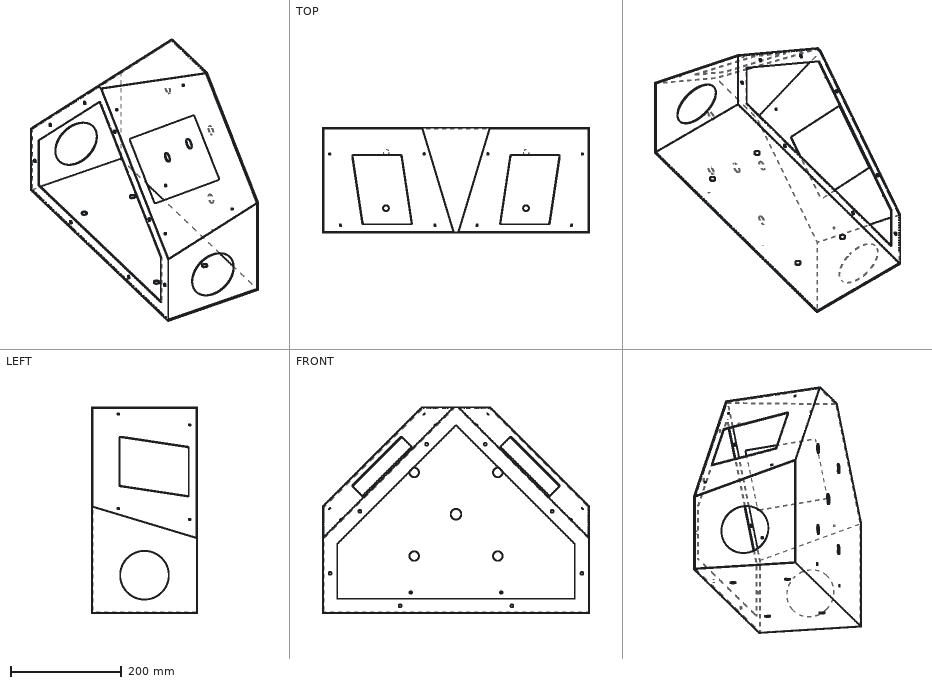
import cadquery as cq
import math

width = 482.5
depth = 190.5
height = 373.0
sheet = 2.0
front_shoulder = 136.0
back_shoulder = 193.5
flange_width = 26.0

half_width = width / 2
lean = (back_shoulder - front_shoulder) / depth
panel_normal_length = math.sqrt(2 + lean**2)

window_length = 126.5
window_width = 128.5
window_corner_radius = 2.65
window_center_x = 134.5
window_center_y = 77.5
panel_screw_spacing_along = 242.5
panel_screw_spacing_across = 132.0
panel_screw_diameter = 3.5
panel_screw_skin = 1.5

side_hole_diameter = 88.0
side_hole_z = 68.5
back_hole_diameter = 17.0
back_hole_spacing = 151.5
back_center_hole_diameter = 19.0
back_center_z = 179.0
back_screw_diameter = 4.05
back_screw_x = 82.0
back_screw_z = 37.0
floor_hole_diameter = 10.0
floor_hole_x = 127.0
floor_hole_inset = 44.5
flange_screw_diameter = 5.5
flange_screws = [(101.5, 13.0), (228.5, 72.0), (174.0, 184.5), (53.0, 306.0)]


def section(y, inset):
    """Corners of the hexagonal cross-section at depth y, with every face moved inward by inset."""
    side = half_width - inset
    top = height - inset
    roof_sum = half_width + front_shoulder + lean * y - inset * panel_normal_length
    right = [(side, inset), (side, roof_sum - side), (roof_sum - top, top)]
    left = [(-x, z) for x, z in reversed(right)]
    return [cq.Vector(x, y, z) for x, z in right + left]


def planar_face(corners):
    return cq.Face.makeFromWires(cq.Wire.makePolygon(corners, close=True))


def hexagonal_body(y_front, y_back, inset):
    """Solid between two sections, bounded by flat faces only."""
    front = section(y_front, inset)
    back = section(y_back, inset)
    faces = [planar_face(front), planar_face(back)]
    for i in range(len(front)):
        faces.append(planar_face([front[i - 1], front[i], back[i], back[i - 1]]))
    return cq.Workplane(obj=cq.Solid.makeSolid(cq.Shell.makeShell(faces)))


def flange_opening():
    """Five-sided front opening, leaving an even flange along the walls and roof."""
    side = half_width - flange_width
    apex = half_width + front_shoulder - flange_width * math.sqrt(2)
    right = [(side, flange_width), (side, apex - side)]
    left = [(-x, z) for x, z in reversed(right)]
    points = right + [(0, apex)] + left
    return cq.Workplane("XZ").polyline(points).close().extrude(-2 * sheet)


def holes_along_y(points, diameter, y_start):
    """Round cutters passing through one sheet that starts at y_start."""
    plane = cq.Workplane("XZ", origin=(0, y_start, 0))
    return plane.pushPoints(points).circle(diameter / 2).extrude(-sheet)


def panel_cutters(side):
    """Cutters for the window and four blind screw holes of one roof panel; side is -1 (left) or 1 (right)."""
    center_z = half_width + front_shoulder + lean * window_center_y - window_center_x
    plane = cq.Plane(
        origin=(side * window_center_x, window_center_y, center_z),
        xDir=(side, 0, -1),
        normal=(side, -lean, 1),
    )
    cut_depth = 2 * sheet
    window = (
        cq.Workplane(plane)
        .rect(window_length, window_width)
        .extrude(cut_depth, both=True)
        .edges(cq.selectors.ParallelDirSelector(plane.zDir))
        .fillet(window_corner_radius)
    )
    screws = (
        cq.Workplane(plane)
        .workplane(offset=-panel_screw_skin)
        .rect(panel_screw_spacing_along, panel_screw_spacing_across, forConstruction=True)
        .vertices()
        .circle(panel_screw_diameter / 2)
        .extrude(-cut_depth)
    )
    return window, screws


shell = hexagonal_body(0, depth, 0)
shell = shell.cut(hexagonal_body(sheet, depth - sheet, sheet))
shell = shell.cut(flange_opening())

for mirror in (-1, 1):
    points = [(mirror * x, z) for x, z in flange_screws]
    shell = shell.cut(holes_along_y(points, flange_screw_diameter, 0))

back_inner = depth - sheet
half_spacing = back_hole_spacing / 2
corner_holes = [(i * half_spacing, back_center_z + j * half_spacing) for i in (-1, 1) for j in (-1, 1)]
back_screws = [(-back_screw_x, back_screw_z), (back_screw_x, back_screw_z)]
shell = shell.cut(holes_along_y(corner_holes, back_hole_diameter, back_inner))
shell = shell.cut(holes_along_y([(0, back_center_z)], back_center_hole_diameter, back_inner))
shell = shell.cut(holes_along_y(back_screws, back_screw_diameter, back_inner))

floor_holes = [(i * floor_hole_x, y) for i in (-1, 1) for y in (floor_hole_inset, depth - floor_hole_inset)]
shell = shell.cut(cq.Workplane("XY").pushPoints(floor_holes).circle(floor_hole_diameter / 2).extrude(sheet))

side_hole = (
    cq.Workplane("YZ")
    .center(depth / 2, side_hole_z)
    .circle(side_hole_diameter / 2)
    .extrude(half_width, both=True)
)
shell = shell.cut(side_hole)

for side in (-1, 1):
    for cutter in panel_cutters(side):
        shell = shell.cut(cutter)

result = cq.Workplane(obj=shell.solids().val())